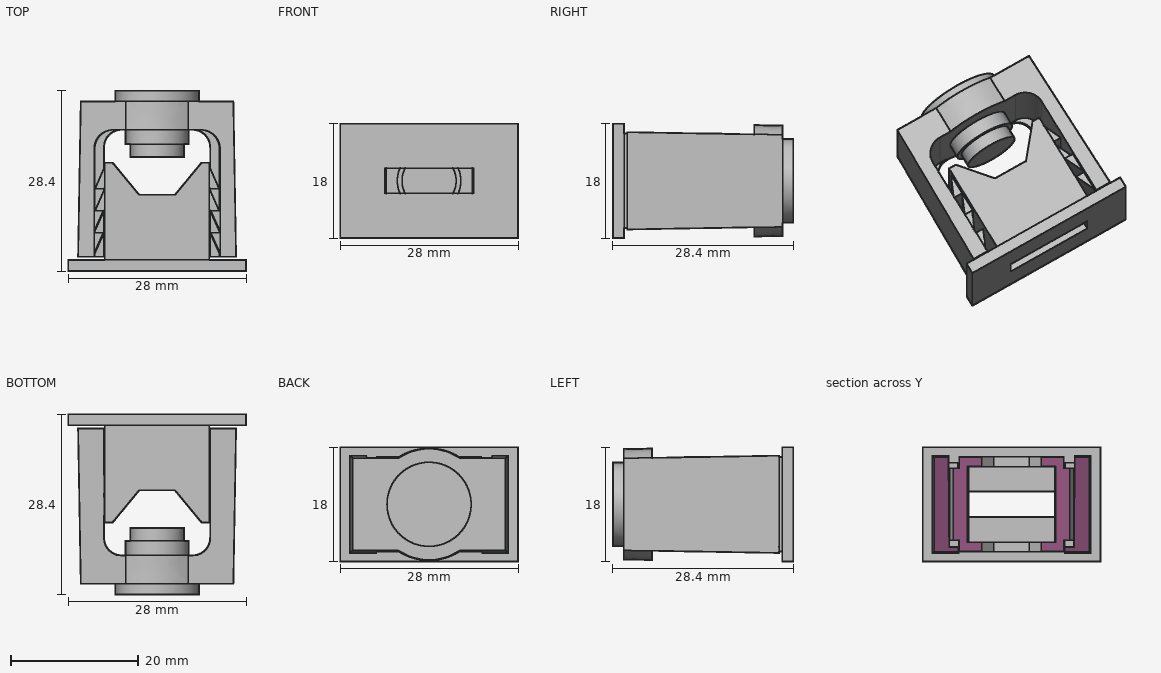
import cadquery as cq
import math

DRAFT = 1.0
POCKET_DRAFT = 0.5

PLATE_WIDTH = 28.0
PLATE_HEIGHT = 18.0
PLATE_THICKNESS = 1.8
BLOCK_HALF_WIDTH = 8.25
BLOCK_HALF_HEIGHT = 7.45
BLOCK_END_Y = 17.07
NOTCH_FLOOR_Y = 12.0
NOTCH_FLOOR_HALF_WIDTH = 2.8
NOTCH_MOUTH_HALF_WIDTH = 7.0
SLOT_HEIGHT = 3.98
SLOT_DEPTH = 4.5
SLOT_INNER_HALF_WIDTH = 6.75
BLOCK_SKIN = 1.5
BARB_DEPTH = 1.5
BARB_LENGTH = 3.45
BARB_HALF_HEIGHT = 5.68

FRAME_FRONT_Y = 2.25
FRAME_BACK_Y = 26.7
BACK_WALL = 4.5
FRAME_BACK_HALF_WIDTH = 12.0
FRAME_BACK_HALF_HEIGHT = 7.25
HUMP_BACK_RADIUS = 8.75
POCKET_TOP_HALF_WIDTH = 9.9
POCKET_CORNER_RADIUS = 3.0
LEDGE_THICKNESS = 1.0
LEDGE_HALF_GAP = 8.32
LEDGE_CORNER_RADIUS = 2.7

TOOTH_PITCH = 3.46
TOOTH_COUNT = 2
TOOTH_FIRST_Y = 9.5
TOOTH_TOP_Z = 6.5
TOOTH_RAMP = 2.2

CAP_RADIUS = 6.62
CAP_THICKNESS = 1.7
SHAFT_RADIUS = 5.0
SHAFT_PROTRUSION = 2.25
TIP_RADIUS = 4.25
TIP_LENGTH = 2.05

CLEAR = 1.42

draft_slope = math.tan(math.radians(DRAFT))
pocket_slope = math.tan(math.radians(POCKET_DRAFT))
frame_length = FRAME_BACK_Y - FRAME_FRONT_Y
pocket_end_y = FRAME_BACK_Y - BACK_WALL
frame_top_z = FRAME_BACK_HALF_HEIGHT + frame_length * draft_slope
ledge_z = LEDGE_THICKNESS - frame_top_z
pocket_floor_half_width = POCKET_TOP_HALF_WIDTH - (frame_top_z - ledge_z) * pocket_slope
pocket_floor_radius = POCKET_CORNER_RADIUS - POCKET_TOP_HALF_WIDTH + pocket_floor_half_width
SIDES = (-1, 1)


def plane_facing_front(y):
    """Plane across the Y axis whose normal points to -Y; its local axes are X and Z."""
    return cq.Workplane("XZ", origin=(0, y, 0))


def level_plane(z):
    """Horizontal plane at height z; its local axes are X and Y."""
    return cq.Workplane("XY", origin=(0, 0, z))


def cylinder_along_y(radius, start_y, end_y):
    """Solid cylinder centred on the Y axis."""
    return plane_facing_front(end_y).circle(radius).extrude(end_y - start_y)


def make_barb(side, flat_y):
    """Barb on the block: ramp toward the frame's back wall, flat catch toward the plate."""
    root_x = side * BLOCK_HALF_WIDTH
    outline = [
        (root_x, flat_y),
        (root_x + side * BARB_DEPTH, flat_y),
        (root_x, flat_y + BARB_LENGTH),
    ]
    return level_plane(-BARB_HALF_HEIGHT).polyline(outline).close().extrude(2 * BARB_HALF_HEIGHT)


def make_slot():
    """Slot through the plate, narrowing sideways until it reaches the cavity of the block."""
    return (
        plane_facing_front(SLOT_DEPTH)
        .rect(2 * SLOT_INNER_HALF_WIDTH, SLOT_HEIGHT)
        .workplane(offset=SLOT_DEPTH)
        .rect(2 * NOTCH_MOUTH_HALF_WIDTH, SLOT_HEIGHT)
        .loft(ruled=True)
    )


def make_cavity():
    """Hollow of the block, widening to the notch mouth and open toward the knob."""
    cavity_height = 2 * (BLOCK_HALF_HEIGHT - BLOCK_SKIN)
    return (
        plane_facing_front(BLOCK_END_Y)
        .rect(2 * NOTCH_MOUTH_HALF_WIDTH, cavity_height)
        .workplane(offset=BLOCK_END_Y - SLOT_DEPTH)
        .rect(2 * SLOT_INNER_HALF_WIDTH, cavity_height)
        .loft(ruled=True)
    )


def make_drawer():
    """Plate and block with barbs, cut by the notch, the slot and the cavity."""
    plate = plane_facing_front(PLATE_THICKNESS).rect(PLATE_WIDTH, PLATE_HEIGHT).extrude(PLATE_THICKNESS)
    block = (
        plane_facing_front(BLOCK_END_Y)
        .rect(2 * BLOCK_HALF_WIDTH, 2 * BLOCK_HALF_HEIGHT)
        .extrude(BLOCK_END_Y - PLATE_THICKNESS)
    )
    drawer = plate.union(block)
    for side in SIDES:
        for index in range(TOOTH_COUNT):
            drawer = drawer.union(make_barb(side, TOOTH_FIRST_Y + index * TOOTH_PITCH))

    notch = (
        level_plane(-BLOCK_HALF_HEIGHT)
        .moveTo(-NOTCH_FLOOR_HALF_WIDTH, NOTCH_FLOOR_Y)
        .lineTo(NOTCH_FLOOR_HALF_WIDTH, NOTCH_FLOOR_Y)
        .lineTo(NOTCH_MOUTH_HALF_WIDTH, BLOCK_END_Y)
        .lineTo(-NOTCH_MOUTH_HALF_WIDTH, BLOCK_END_Y)
        .close()
        .extrude(2 * BLOCK_HALF_HEIGHT)
    )
    return drawer.cut(notch).cut(make_slot()).cut(make_cavity())


def draw_opening(plane, half_width, radius):
    """U-shaped outline, open past the frame's front, with two rounded back corners."""
    front_y = FRAME_FRONT_Y - CLEAR
    straight_end_y = pocket_end_y - radius
    corner_x = half_width - radius
    arc_mid_x = corner_x + radius * math.sqrt(0.5)
    arc_mid_y = straight_end_y + radius * math.sqrt(0.5)
    return (
        plane.moveTo(-half_width, front_y)
        .lineTo(half_width, front_y)
        .lineTo(half_width, straight_end_y)
        .threePointArc((arc_mid_x, arc_mid_y), (corner_x, pocket_end_y))
        .lineTo(-corner_x, pocket_end_y)
        .threePointArc((-arc_mid_x, arc_mid_y), (-half_width, straight_end_y))
        .close()
    )


def make_pocket():
    """Main pocket, narrowing down to the ledge; its back wall stays upright."""
    floor = draw_opening(level_plane(ledge_z), pocket_floor_half_width, pocket_floor_radius)
    top_plane = floor.workplane(offset=frame_top_z - ledge_z)
    return draw_opening(top_plane, POCKET_TOP_HALF_WIDTH, POCKET_CORNER_RADIUS).loft(ruled=True)


def make_tooth(side, flat_y):
    """Ratchet tooth: upright flat toward the back wall, drafted ramp toward the plate."""
    height = TOOTH_TOP_Z - ledge_z
    wall_x = side * POCKET_TOP_HALF_WIDTH
    base_tip_x = side * LEDGE_HALF_GAP
    top_tip_x = base_tip_x + side * height * pocket_slope
    ramp_shift = height * pocket_slope * TOOTH_RAMP
    base_end_y = flat_y - TOOTH_RAMP * (POCKET_TOP_HALF_WIDTH - LEDGE_HALF_GAP)
    return (
        level_plane(ledge_z)
        .polyline([(base_tip_x, flat_y), (wall_x, flat_y), (wall_x, base_end_y)])
        .close()
        .workplane(offset=height)
        .polyline([(top_tip_x, flat_y), (wall_x, flat_y), (wall_x, base_end_y + ramp_shift)])
        .close()
        .loft(ruled=True)
    )


def make_frame():
    """Drafted shell with a round hump on its back wall, a pocket, a ledge gap and ratchet teeth."""
    draft_shift = frame_length * draft_slope
    shell = (
        plane_facing_front(FRAME_BACK_Y)
        .rect(2 * FRAME_BACK_HALF_WIDTH, 2 * FRAME_BACK_HALF_HEIGHT)
        .workplane(offset=frame_length)
        .rect(2 * (FRAME_BACK_HALF_WIDTH + draft_shift), 2 * frame_top_z)
        .loft(ruled=True)
    )
    hump = plane_facing_front(FRAME_BACK_Y).circle(HUMP_BACK_RADIUS).extrude(BACK_WALL, taper=-DRAFT)
    gap_outline = draw_opening(level_plane(-frame_top_z - CLEAR), LEDGE_HALF_GAP, LEDGE_CORNER_RADIUS)
    gap = gap_outline.extrude(LEDGE_THICKNESS + 2 * CLEAR)
    frame = shell.union(hump).cut(make_pocket()).cut(gap)
    for side in SIDES:
        for index in range(TOOTH_COUNT):
            frame = frame.union(make_tooth(side, TOOTH_FIRST_Y - index * TOOTH_PITCH))
    return frame.cut(cylinder_along_y(SHAFT_RADIUS, pocket_end_y, FRAME_BACK_Y))


def make_knob():
    """Stepped round knob that fills the hole through the back wall."""
    shaft_end_y = pocket_end_y - SHAFT_PROTRUSION
    cap = cylinder_along_y(CAP_RADIUS, FRAME_BACK_Y, FRAME_BACK_Y + CAP_THICKNESS)
    shaft = cylinder_along_y(SHAFT_RADIUS, shaft_end_y, FRAME_BACK_Y)
    tip = cylinder_along_y(TIP_RADIUS, shaft_end_y - TIP_LENGTH, shaft_end_y)
    return cap.union(shaft).union(tip)


drawer = make_drawer()
frame = make_frame()
knob = make_knob()
result = cq.Compound.makeCompound([drawer.solids().val(), frame.solids().val(), knob.solids().val()])